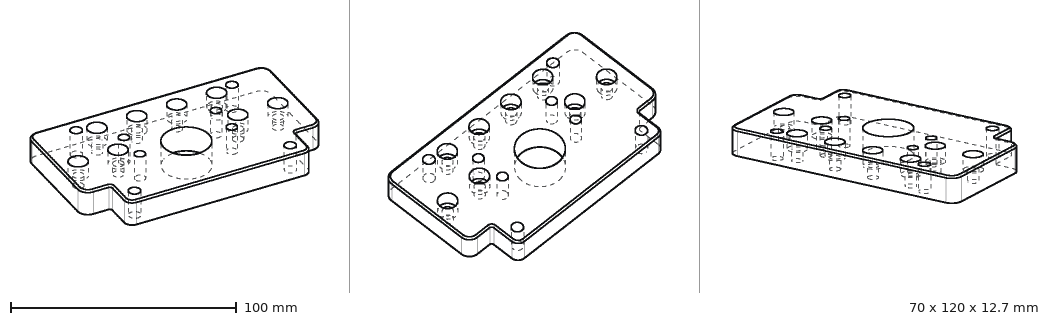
import cadquery as cq

body_length = 120.0
body_width = 53.5
overall_width = 70.0
tab_length = 92.0
thickness = 12.7

body_corner_radius = 5.0
tab_corner_radius = 4.0
notch_radius = 1.2
top_chamfer = 1.0

bore_diameter = 22.5
bore_x = 37.9

grid_rows = 6
grid_pitch = body_length / grid_rows
screw_diameter = 5.0
counterbore_diameter = 9.0
counterbore_depth = 7.2
outer_column_x = grid_pitch / 2
inner_column_x = outer_column_x + grid_pitch
row_near_y = grid_pitch / 2
row_middle_y = row_near_y + grid_pitch
row_far_y = row_middle_y + grid_pitch

mount_diameter = 5.5
mount_left_x = 7.5
mount_right_x = overall_width - mount_left_x
mount_y = 39.0

plain_diameter = 5.0
plain_left_x = 22.5
plain_spacing_x = 15.0
plain_y = 23.0


def mirrored(points):
    """Repeat the points on both sides of the X axis."""
    return [(x, side * y) for x, y in points for side in (1, -1)]


def round_corners(plate, points, radius):
    """Fillet the vertical edges that pass through the given points."""
    for point in points:
        edge_middle = (*point, thickness / 2)
        corner = cq.selectors.NearestToPointSelector(edge_middle)
        plate = plate.edges(corner).fillet(radius)
    return plate


def make_plate():
    body = cq.Workplane("XY").box(body_width, body_length, thickness, centered=(False, True, False))
    tab = cq.Workplane("XY").box(overall_width, tab_length, thickness, centered=(False, True, False))
    plate = body.union(tab)

    body_corners = mirrored([(0, body_length / 2), (body_width, body_length / 2)])
    tab_corners = mirrored([(overall_width, tab_length / 2)])
    notch_corners = mirrored([(body_width, tab_length / 2)])
    plate = round_corners(plate, body_corners, body_corner_radius)
    plate = round_corners(plate, tab_corners, tab_corner_radius)
    plate = round_corners(plate, notch_corners, notch_radius)
    return plate.faces(">Z").edges().chamfer(top_chamfer)


def top_plane(plate):
    return plate.faces(">Z").workplane(origin=(0, 0, thickness))


def cut_bore(plate):
    return top_plane(plate).center(bore_x, 0).hole(bore_diameter)


def cut_screw_holes(plate):
    points = mirrored([
        (outer_column_x, row_near_y),
        (outer_column_x, row_middle_y),
        (inner_column_x, row_middle_y),
        (inner_column_x, row_far_y),
    ])
    plane = top_plane(plate).pushPoints(points)
    return plane.cboreHole(screw_diameter, counterbore_diameter, counterbore_depth)


def cut_mount_holes(plate):
    points = mirrored([(mount_left_x, mount_y), (mount_right_x, mount_y)])
    return top_plane(plate).pushPoints(points).hole(mount_diameter)


def cut_plain_holes(plate):
    points = mirrored([(plain_left_x, plain_y), (plain_left_x + plain_spacing_x, plain_y)])
    return top_plane(plate).pushPoints(points).hole(plain_diameter)


plate = make_plate()
plate = cut_bore(plate)
plate = cut_screw_holes(plate)
plate = cut_mount_holes(plate)
result = cut_plain_holes(plate)